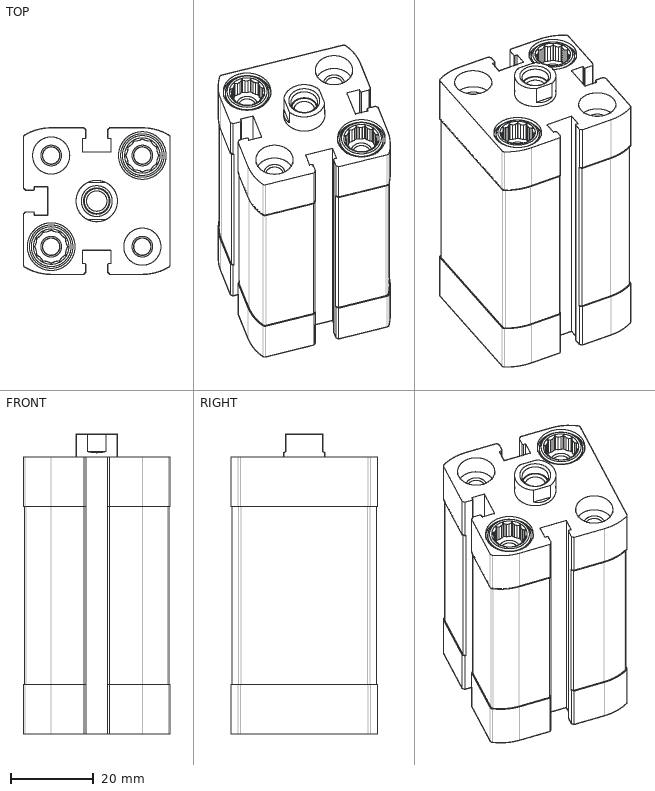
import cadquery as cq
import math

SIDE = 35.5
TOTAL_HEIGHT = 72.5
ROD_PROJECTION = 5.5
HOUSING_HEIGHT = TOTAL_HEIGHT - ROD_PROJECTION
BARREL_HEIGHT = 43.0
CAP_HEIGHT = (HOUSING_HEIGHT - BARREL_HEIGHT) / 2
BARREL_INSET = 0.255
CORNER_ARC_RADIUS = 12.5
CORNER_FILLET = 0.7
CORNER_OFFSET = 11.0

SLOT_MOUTH_WIDTH = 5.2
SLOT_INNER_WIDTH = 6.8
SLOT_DEPTH = 5.9
SLOT_LIP = 2.7
MOUTH_CHAMFER = 0.5
LIP_CHAMFER = 0.2

RECESS_DEPTH = 5.0
HOLE_DIAMETER = 4.1
HOLE_MOUTH_DIAMETER = 5.0
COUNTERBORE_DIAMETER = 9.0

GROOVE_OUTER_DIAMETER = 11.5
COLLAR_DIAMETER = 10.5
COLLAR_CHAMFER = 0.4
GROOVE_DEPTH = 1.0
TOOTH_TIP_DIAMETER = 7.5
TOOTH_SHOULDER_DIAMETER = 7.9
TOOTH_ROOT_DIAMETER = 8.55
TOOTH_COUNT = 12
NOTCH_TIP_WIDTH = 1.2
NOTCH_ROOT_WIDTH = 0.15

ROD_DIAMETER = 10.0
ROD_INSERTION = CAP_HEIGHT
FLAT_WIDTH = 9.0
FLAT_HEIGHT = 4.2
FLAT_RUNOUT = 0.3
BORE_MOUTH_DIAMETER = 7.5
BORE_DIAMETER = 6.4
BORE_DEPTH = 2.8
THREAD_MOUTH_DIAMETER = 6.0
THREAD_DIAMETER = 4.9
THREAD_DEPTH = 11.0
DRILL_TIP_ANGLE = 30.0

ROD_BOTTOM = HOUSING_HEIGHT - ROD_INSERTION


def revolved(points):
    """Solid of revolution about Z from (radius, height) points."""
    return cq.Workplane("XZ").polyline(points).close().revolve(360, (0, 0), (0, 1))


def slot_cutter(face, height):
    """T-slot opening towards +X through a wall whose outer face is at x = face."""
    mouth = SLOT_MOUTH_WIDTH / 2
    inner = SLOT_INNER_WIDTH / 2
    floor = SIDE / 2 - SLOT_DEPTH
    lip = SIDE / 2 - SLOT_LIP
    half = [
        (face, mouth + MOUTH_CHAMFER),
        (face - MOUTH_CHAMFER, mouth),
        (lip + LIP_CHAMFER, mouth),
        (lip, mouth + LIP_CHAMFER),
        (lip, inner),
        (floor, inner),
    ]
    mirrored = [(x, -y) for x, y in reversed(half)]
    return cq.Workplane("XY").polyline(half + mirrored).close().extrude(height)


def profile_section(inset, bottom, height):
    """Length of the slotted profile, inset from the cap outline."""
    half = SIDE / 2 - inset
    radius = CORNER_ARC_RADIUS - inset
    arc_center_y = half - radius

    def arc_y(x):
        return arc_center_y + math.sqrt(radius**2 - (x - CORNER_OFFSET) ** 2)

    corner_y = arc_y(half)
    middle_x = (CORNER_OFFSET + half) / 2
    middle_y = arc_y(middle_x)
    section = (
        cq.Workplane("XY")
        .moveTo(-CORNER_OFFSET, half)
        .lineTo(CORNER_OFFSET, half)
        .threePointArc((middle_x, middle_y), (half, corner_y))
        .lineTo(half, -corner_y)
        .threePointArc((middle_x, -middle_y), (CORNER_OFFSET, -half))
        .lineTo(-CORNER_OFFSET, -half)
        .threePointArc((-middle_x, -middle_y), (-half, -corner_y))
        .lineTo(-half, corner_y)
        .threePointArc((-middle_x, middle_y), (-CORNER_OFFSET, half))
        .close()
        .extrude(height)
        .edges("|Z and (<X or >X)")
        .fillet(CORNER_FILLET)
    )
    for angle in (90, 180, 270):
        section = section.cut(slot_cutter(half, height).rotate((0, 0, 0), (0, 0, 1), angle))
    return section.translate((0, 0, bottom))


def through_hole_cutter():
    """Through hole with a countersunk mouth at the floor of a recess."""
    hole = HOLE_DIAMETER / 2
    mouth = HOLE_MOUTH_DIAMETER / 2
    floor = HOUSING_HEIGHT - RECESS_DEPTH
    return revolved([
        (0, 0),
        (hole, 0),
        (hole, floor - (mouth - hole)),
        (mouth, floor),
        (0, floor),
    ])


def counterbored_hole_cutter():
    """Fixing hole with a plain cylindrical counterbore."""
    counterbore = (
        cq.Workplane("XY", origin=(0, 0, HOUSING_HEIGHT - RECESS_DEPTH))
        .circle(COUNTERBORE_DIAMETER / 2)
        .extrude(RECESS_DEPTH)
    )
    return through_hole_cutter().union(counterbore)


def collar_groove_cutter():
    """Ring groove around a socket, with the chamfer on the collar it leaves."""
    collar = COLLAR_DIAMETER / 2
    outer = GROOVE_OUTER_DIAMETER / 2
    return revolved([
        (collar - COLLAR_CHAMFER, HOUSING_HEIGHT),
        (collar, HOUSING_HEIGHT - COLLAR_CHAMFER),
        (collar, HOUSING_HEIGHT - GROOVE_DEPTH),
        (outer, HOUSING_HEIGHT - GROOVE_DEPTH),
        (outer, HOUSING_HEIGHT),
    ])


def socket_cutter():
    """Twelve-notch splined socket with a chamfered mouth."""
    tip = TOOTH_TIP_DIAMETER / 2
    shoulder = TOOTH_SHOULDER_DIAMETER / 2
    root = TOOTH_ROOT_DIAMETER / 2
    floor = HOUSING_HEIGHT - RECESS_DEPTH
    socket = revolved([
        (0, floor),
        (tip, floor),
        (tip, HOUSING_HEIGHT - (root - tip)),
        (root, HOUSING_HEIGHT),
        (0, HOUSING_HEIGHT),
    ])
    notch = (
        cq.Workplane("XY", origin=(0, 0, floor))
        .polyline([
            (0, -NOTCH_TIP_WIDTH / 2),
            (tip, -NOTCH_TIP_WIDTH / 2),
            (shoulder, -NOTCH_ROOT_WIDTH / 2),
            (root, -NOTCH_ROOT_WIDTH / 2),
            (root, NOTCH_ROOT_WIDTH / 2),
            (shoulder, NOTCH_ROOT_WIDTH / 2),
            (tip, NOTCH_TIP_WIDTH / 2),
            (0, NOTCH_TIP_WIDTH / 2),
        ])
        .close()
        .extrude(RECESS_DEPTH)
    )
    for index in range(TOOTH_COUNT):
        socket = socket.union(notch.rotate((0, 0, 0), (0, 0, 1), index * 360 / TOOTH_COUNT))
    return socket.union(through_hole_cutter())


def make_housing():
    """Slotted cylinder housing: bottom cap, barrel and top cap in one piece."""
    housing = (
        profile_section(0, 0, CAP_HEIGHT)
        .union(profile_section(BARREL_INSET, CAP_HEIGHT, BARREL_HEIGHT))
        .union(profile_section(0, HOUSING_HEIGHT - CAP_HEIGHT, CAP_HEIGHT))
    )
    counterbored_hole = counterbored_hole_cutter()
    groove = collar_groove_cutter()
    socket = socket_cutter()
    for side in (1, -1):
        housing = housing.cut(
            counterbored_hole.translate((-side * CORNER_OFFSET, side * CORNER_OFFSET, 0))
        )
        socket_place = (side * CORNER_OFFSET, side * CORNER_OFFSET, 0)
        housing = housing.cut(groove.translate(socket_place))
        housing = housing.cut(socket.translate(socket_place))
    rod_seat = (
        cq.Workplane("XY", origin=(0, 0, ROD_BOTTOM))
        .circle(ROD_DIAMETER / 2)
        .extrude(ROD_INSERTION)
    )
    return housing.cut(rod_seat)


def rod_bore_cutter():
    """Threaded rod hole: chamfered mouth, wider bore, countersink and drill tip."""
    mouth = BORE_MOUTH_DIAMETER / 2
    bore = BORE_DIAMETER / 2
    thread = THREAD_DIAMETER / 2
    thread_mouth = THREAD_MOUTH_DIAMETER / 2
    tip_height = thread * math.tan(math.radians(DRILL_TIP_ANGLE))
    return revolved([
        (0, TOTAL_HEIGHT),
        (mouth, TOTAL_HEIGHT),
        (bore, TOTAL_HEIGHT - (mouth - bore)),
        (bore, TOTAL_HEIGHT - BORE_DEPTH),
        (thread_mouth, TOTAL_HEIGHT - BORE_DEPTH),
        (thread, TOTAL_HEIGHT - BORE_DEPTH - (thread_mouth - thread)),
        (thread, TOTAL_HEIGHT - THREAD_DEPTH),
        (0, TOTAL_HEIGHT - THREAD_DEPTH - tip_height),
    ])


def make_rod():
    """Piston rod with two wrench flats and a threaded end."""
    rod_radius = ROD_DIAMETER / 2
    flat = FLAT_WIDTH / 2
    flat_bottom = TOTAL_HEIGHT - FLAT_HEIGHT
    rod = (
        cq.Workplane("XY", origin=(0, 0, ROD_BOTTOM))
        .circle(rod_radius)
        .extrude(TOTAL_HEIGHT - ROD_BOTTOM)
    )
    flat_cutter = (
        cq.Workplane("YZ")
        .polyline([
            (flat, TOTAL_HEIGHT),
            (flat, flat_bottom),
            (rod_radius, flat_bottom - FLAT_RUNOUT),
            (rod_radius, TOTAL_HEIGHT),
        ])
        .close()
        .extrude(rod_radius, both=True)
    )
    rod = rod.cut(flat_cutter).cut(flat_cutter.mirror("XZ"))
    return rod.cut(rod_bore_cutter())


housing = make_housing()
rod = make_rod()

result = cq.Compound.makeCompound([housing.val(), rod.val()])